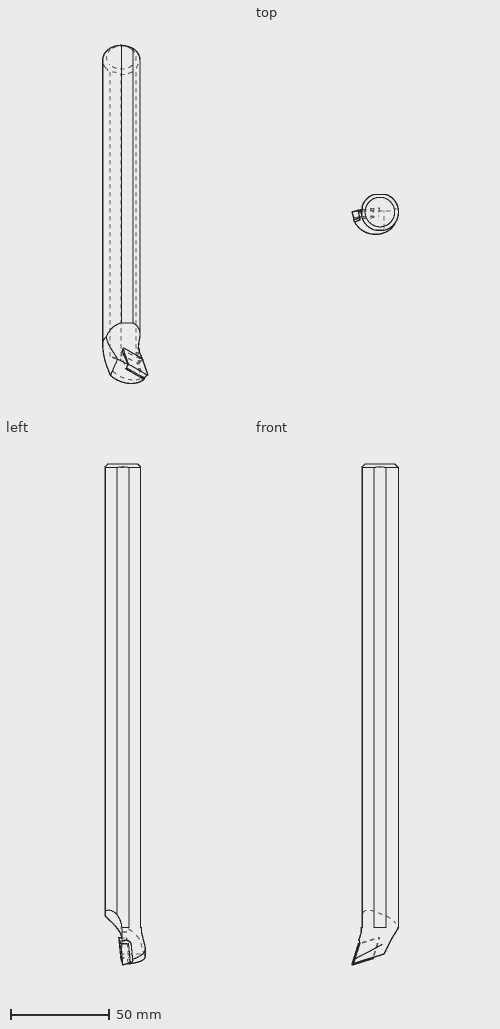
import cadquery as cq
import math


shank_radius = 9.525
flat_distance = 9.02
top_z = 255.25
end_chamfer = 2.0
flat_end_z = 19.0
flat_directions = (90, 180, 270)

collar_end_z = 16.7
cone_growth = 0.25
cone_lean = 0.07
cone_end_z = -4.0
clearance_radius = 12.2
clearance_x = -2.2
clearance_y = 0.77
relief_top = (shank_radius, flat_end_z)
relief_bend = (5.9, 13.2)
relief_end_x = 2.2

chip_floor_y = 0.5
runout_radius = 11.0
runout_start_z = 14.7
chip_slant = 21.0

inscribed_radius = 9.525 / 2
nose_angle = 55.0
insert_thickness = 3.97
flank_taper = 7.0
nose_radius = 0.4
edge_angle = (90 - nose_angle) / 2
insert_tilt = 6.0
nose_x = -14.475
nose_z = -0.208

seat_inset = 0.5
flank_cut_length = 13.2
flank_cut_depth = 5.3
flank_cut_corner = 2.5

reach = 60.0

half_nose = math.radians(nose_angle / 2)
long_diagonal = 2 * inscribed_radius / math.sin(half_nose)
short_half_diagonal = inscribed_radius / math.cos(half_nose)

tilt = math.radians(insert_tilt)
diagonal_share = math.cos(tilt) / math.sqrt(2)
normal_share = -math.sin(tilt) / math.sqrt(2)
insert_plane = cq.Plane(
    origin=(nose_x, 0, nose_z),
    xDir=(diagonal_share, math.sin(tilt), diagonal_share),
    normal=(normal_share, math.cos(tilt), normal_share),
)


def insert_outline():
    return cq.Workplane(insert_plane).polyline([
        (0, 0),
        (long_diagonal / 2, -short_half_diagonal),
        (long_diagonal, 0),
        (long_diagonal / 2, short_half_diagonal),
    ]).close()


def make_insert():
    plate = insert_outline().extrude(-insert_thickness, taper=flank_taper)
    for distance in (0, long_diagonal):
        corner = insert_plane.toWorldCoords((distance, 0, 0)).toTuple()
        plate = plate.edges(cq.NearestToPointSelector(corner)).fillet(nose_radius)
    return plate


def make_shank():
    """Shank with its flats, down to and including the round collar."""
    shank = cq.Workplane("XY", origin=(0, 0, collar_end_z)).circle(shank_radius)
    shank = shank.extrude(top_z - collar_end_z)
    shank = shank.faces(">Z").chamfer(end_chamfer)
    for direction in flat_directions:
        waste = (
            cq.Workplane("XY", origin=(0, 0, flat_end_z))
            .center(flat_distance + reach / 2, 0)
            .rect(reach, reach)
            .extrude(top_z)
        )
        shank = shank.cut(waste.rotate((0, 0, 0), (0, 0, 1), direction))
    return shank


def make_head():
    drop = collar_end_z - cone_end_z
    cone = (
        cq.Workplane("XY", origin=(0, 0, collar_end_z))
        .circle(shank_radius)
        .workplane(offset=-drop)
        .center(-cone_lean * drop, 0)
        .circle(shank_radius + cone_growth * drop)
        .loft(combine=True)
    )
    bore = cq.Workplane("XY", origin=(clearance_x, clearance_y, cone_end_z))
    bore = bore.circle(clearance_radius).extrude(reach)
    return cone.intersect(bore)


def make_relief():
    """Everything beyond the head's +X relief and below its end face, which follows the cutting edge."""
    slope = math.tan(math.radians(edge_angle))
    end_height = nose_z + seat_inset / math.cos(math.radians(edge_angle))
    relief_end = (relief_end_x, end_height + slope * (relief_end_x - nose_x))
    left_end = (nose_x - reach, end_height - slope * reach)
    return (
        cq.Workplane("XZ")
        .polyline([
            relief_top,
            relief_bend,
            relief_end,
            left_end,
            (reach, left_end[1]),
            (reach, relief_top[1]),
        ])
        .close()
        .extrude(reach, both=True)
    )


def make_chip_pocket():
    centre_y = chip_floor_y + runout_radius
    runout_top_z = runout_start_z + runout_radius
    half_turn = runout_radius * math.sqrt(0.5)
    pocket = (
        cq.Workplane("YZ")
        .moveTo(chip_floor_y, -reach)
        .lineTo(chip_floor_y, runout_start_z)
        .threePointArc((centre_y - half_turn, runout_start_z + half_turn), (centre_y, runout_top_z))
        .lineTo(reach, runout_top_z)
        .lineTo(reach, -reach)
        .close()
        .extrude(reach, both=True)
    )
    return pocket.rotate((0, 0, runout_start_z), (0, 1, runout_start_z), chip_slant)


def make_flank_cut():
    """Flat-faced notch along the insert's -X edge, with its upper inner corner rounded."""
    edge = cq.Vector(long_diagonal / 2, -short_half_diagonal, 0).normalized()
    outward = cq.Vector(edge.y, -edge.x, 0)
    start = insert_plane.toWorldCoords(outward * -seat_inset)
    origin = insert_plane.toWorldCoords((0, 0, 0))
    along = insert_plane.toWorldCoords(edge) - origin
    out = insert_plane.toWorldCoords(outward) - origin
    return (
        cq.Workplane(cq.Plane(origin=start, xDir=along, normal=out))
        .moveTo(-reach, reach)
        .lineTo(-reach, -flank_cut_depth)
        .lineTo(flank_cut_length - flank_cut_corner, -flank_cut_depth)
        .radiusArc((flank_cut_length, flank_cut_corner - flank_cut_depth), -flank_cut_corner)
        .lineTo(flank_cut_length, reach)
        .close()
        .extrude(reach)
    )


def make_holder(insert):
    holder = make_shank().union(make_head())
    holder = holder.cut(make_relief()).cut(make_flank_cut()).cut(make_chip_pocket())
    room_above_insert = insert_outline().extrude(reach)
    return holder.cut(room_above_insert).cut(insert)


insert = make_insert()
holder = make_holder(insert)
result = cq.Compound.makeCompound([holder.solids().val(), insert.solids().val()])